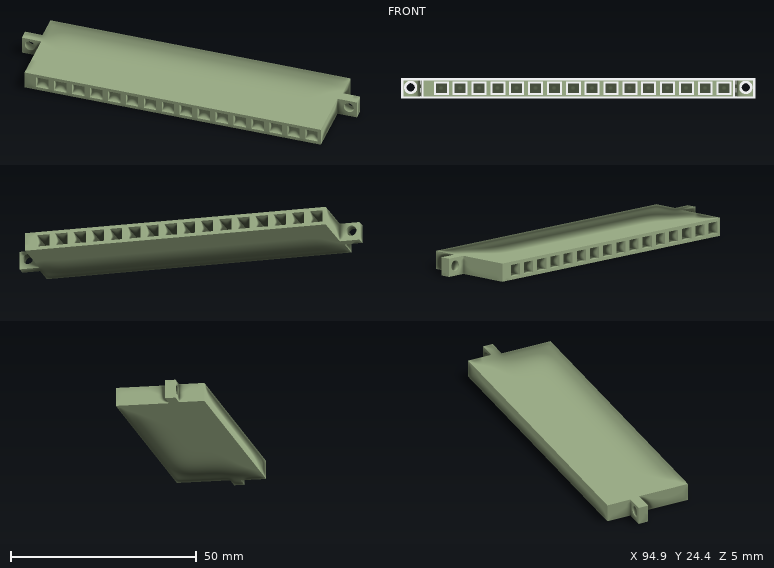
import cadquery as cq

overall_width = 94.9
body_depth = 24.45
body_height = 5.0

front_width = 83.9
rear_width = 85.0

ear_front_y = 14.65
ear_thickness = 2.85
ear_rear_y = ear_front_y + ear_thickness
ear_hole_diameter = 2.85
ear_hole_end_distance = 2.3
ear_hole_z = 2.75

pocket_count = 16
pocket_pitch = 5.08
pocket_width = 3.5
pocket_height = 3.2
pocket_depth = ear_front_y
first_pocket_end_distance = 10.55
first_pocket_x = -overall_width / 2 + first_pocket_end_distance
pocket_z = body_height / 2


def centred_block(width, y_start, y_end):
    """Full-height block centred on X, standing on Z = 0."""
    depth = y_end - y_start
    block = cq.Workplane("XY").box(width, depth, body_height, centered=(True, False, False))
    return block.translate((0, y_start, 0))


def make_body():
    """Stepped body with the ears formed by one bar across its full width."""
    front = centred_block(front_width, 0, ear_rear_y)
    ears = centred_block(overall_width, ear_front_y, ear_rear_y)
    rear = centred_block(rear_width, ear_rear_y, body_depth)
    return front.union(ears).union(rear).clean()


def make_pockets():
    """Blind pockets running back from the front face."""
    pocket_centres = [(first_pocket_x + i * pocket_pitch, pocket_z) for i in range(pocket_count)]
    return (
        cq.Workplane("XZ")
        .pushPoints(pocket_centres)
        .rect(pocket_width, pocket_height)
        .extrude(-pocket_depth)
    )


def make_ear_holes():
    """Holes along Y through both ears."""
    hole_x = overall_width / 2 - ear_hole_end_distance
    return (
        cq.Workplane("XZ", origin=(0, ear_front_y, 0))
        .pushPoints([(-hole_x, ear_hole_z), (hole_x, ear_hole_z)])
        .circle(ear_hole_diameter / 2)
        .extrude(-ear_thickness)
    )


result = make_body().cut(make_pockets()).cut(make_ear_holes())